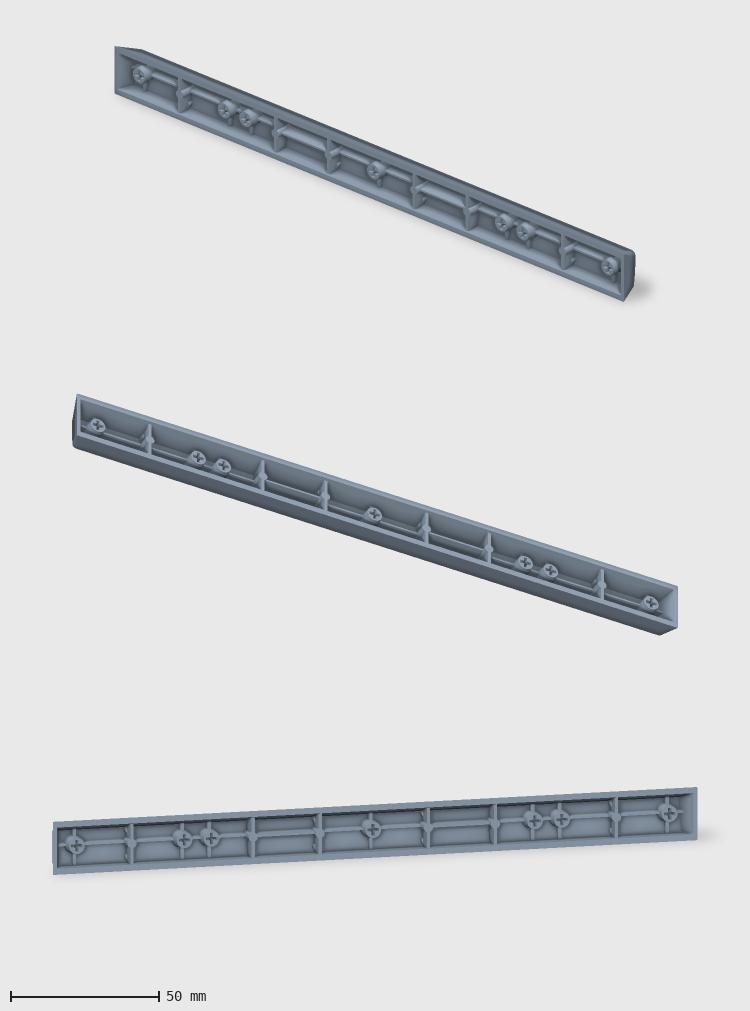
import cadquery as cq

length = 227.6
depth = 9.0
height = 18.2

end_taper = 2.7
top_drop = 3.5
bottom_rise = 1.1
rim_corner_radius = 0.2
back_corner_radius = 1.8

back_crown_height = 12.5
back_fall = 1.8
back_radius = (back_crown_height**2 + back_fall**2) / (2 * back_fall)

end_wall = 1.4
side_wall = 2.0
cavity_end_taper = 3.6
cavity_top_drop = 3.0
back_wall = 1.8

stem_positions = [0, 57.1, 66.7, 104.7]
stem_height = 9.0
stem_front_diameter = 5.5
stem_root_diameter = 6.8
stem_front = 2.0
socket_span = 4.0
socket_width = 1.1

rib_thickness = 1.1
spine_front_thickness = 0.7
spine_root_thickness = 2.3
low_rib_front = 4.8
tall_spine_front = 2.5
cross_rib_front = 1.0
plain_rib_positions = [42.8]
pinned_rib_positions = [19.1, 85.5]

center_pin_diameter = 3.2
side_pin_diameter = 2.3
side_pin_heights = [3.9, 13.2]
side_pin_front = 4.5


def mirrored(positions):
    """Each position together with its mirror image about the middle of the length."""
    return sorted({side * x for x in positions for side in (-1, 1)})


def rounded_rectangle(y, half_length, bottom, top, radius):
    """Rounded rectangle centered on X = 0, standing at depth y."""
    return (
        cq.Sketch()
        .push([(0, (bottom + top) / 2)])
        .rect(2 * half_length, top - bottom)
        .reset()
        .vertices()
        .fillet(radius)
        .moved(cq.Location(cq.Plane((0, y, 0), (1, 0, 0), (0, -1, 0))))
    )


def tapered_block(rim, back):
    """Straight-sided block between a rim outline at Y = 0 and a back outline at full depth."""
    rim_sketch = rounded_rectangle(0, *rim)
    back_sketch = rounded_rectangle(depth, *back)
    return cq.Workplane("XY").placeSketch(rim_sketch, back_sketch).loft(ruled=True)


def back_cylinder(offset):
    """Cylinder whose far side is the back surface moved forward by offset."""
    return (
        cq.Workplane("YZ", origin=(-length / 2, depth - back_radius, back_crown_height))
        .circle(back_radius - offset)
        .extrude(length)
    )


def slab(x, z, x_size, z_size, front):
    """Rectangular rib from its front edge to the full depth."""
    return (
        cq.Workplane("XY")
        .box(x_size, depth - front, z_size, centered=(True, False, True))
        .translate((x, front, z))
    )


def spine(x, span, front):
    """Lengthwise rib that thickens from its front edge to the full depth."""
    half_front = spine_front_thickness / 2
    half_root = spine_root_thickness / 2
    return (
        cq.Workplane("YZ", origin=(x - span / 2, 0, stem_height))
        .polyline([(front, -half_front), (depth, -half_root), (depth, half_root), (front, half_front)])
        .close()
        .extrude(span)
    )


def pin(x, z, diameter, front):
    """Round pin along Y from its front face to the full depth."""
    return cq.Workplane("XZ", origin=(x, front, z)).circle(diameter / 2).extrude(front - depth)


def stem(x):
    """Cone frustum along Y, widening from its front face to the full depth."""
    return (
        cq.Workplane("XZ", origin=(x, stem_front, stem_height))
        .circle(stem_front_diameter / 2)
        .workplane(offset=stem_front - depth)
        .circle(stem_root_diameter / 2)
        .loft()
    )


outer = tapered_block(
    (length / 2, 0, height, rim_corner_radius),
    (length / 2 - end_taper, bottom_rise, height - top_drop, back_corner_radius),
).intersect(back_cylinder(0))

cavity_half = length / 2 - end_wall
cavity_top = height - side_wall
cavity = tapered_block(
    (cavity_half, side_wall, cavity_top, rim_corner_radius),
    (cavity_half - cavity_end_taper, side_wall, cavity_top - cavity_top_drop, rim_corner_radius),
).intersect(back_cylinder(back_wall))

inside = spine(0, length, low_rib_front)
inner_rib = pinned_rib_positions[0]
outer_rib = plain_rib_positions[0]
for x in mirrored([(inner_rib + outer_rib) / 2]):
    inside = inside.union(spine(x, outer_rib - inner_rib, tall_spine_front))

for x in mirrored(plain_rib_positions + pinned_rib_positions):
    inside = inside.union(slab(x, height / 2, rib_thickness, height, cross_rib_front))
    inside = inside.union(pin(x, stem_height, center_pin_diameter, cross_rib_front))
for x in mirrored(pinned_rib_positions):
    for z in side_pin_heights:
        inside = inside.union(pin(x, z, side_pin_diameter, side_pin_front))

for x in mirrored(stem_positions):
    inside = inside.union(slab(x, height / 2, rib_thickness, height, low_rib_front))
    inside = inside.union(stem(x))

for x in mirrored(stem_positions):
    inside = inside.cut(slab(x, stem_height, socket_width, socket_span, 0))
    inside = inside.cut(slab(x, stem_height, socket_span, socket_width, 0))

result = outer.cut(cavity).union(inside.intersect(cavity))